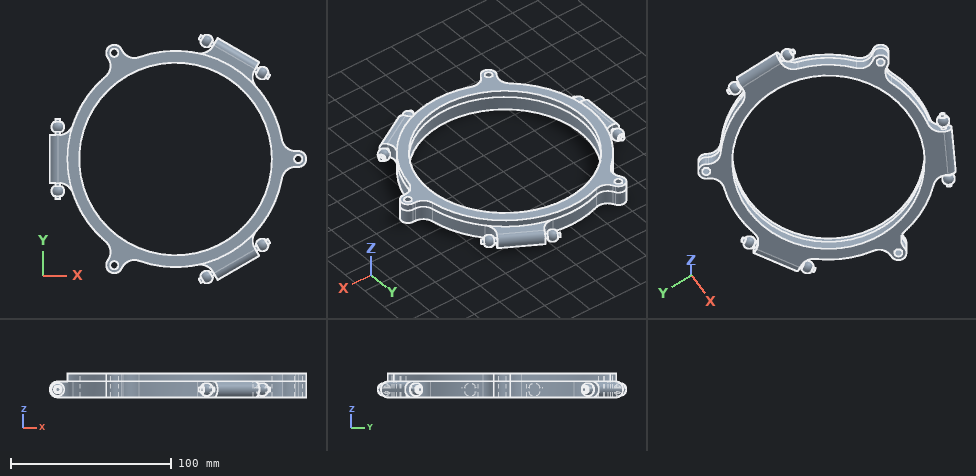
import cadquery as cq
import math

bore_diameter = 120.0
ring_outer_diameter = 135.0
lower_height = 10.0
upper_height = 5.0
ring_radius = ring_outer_diameter / 2

lug_count = 3
lug_angle = 360 / lug_count
lug_center_radius = 76.5
lug_diameter = 10.0
lug_radius = lug_diameter / 2
lug_flare_radius = 8.5
bolt_hole_diameter = 5.0

arm_first_angle = lug_angle / 2
barrel_center_radius = 73.5
barrel_length = 30.0
barrel_radius = lower_height / 2
arm_flare_radius = 9.1

ball_diameter = 8.0
ball_flat_diameter = 5.0
stud_diameter = 3.0
ball_offset = 20.0
stud_end_offset = 25.0


def turned(body, angle):
    """Turn a body about the ring axis."""
    return body.rotate((0, 0, 0), (0, 0, 1), angle)


def ring(height):
    return cq.Workplane("XY").circle(ring_radius).circle(bore_diameter / 2).extrude(height)


def flared_web(half_width, outer_x, flare_radius, height):
    """Straight web along +X whose sides flare tangentially into the ring."""
    flare_y = half_width + flare_radius
    flare_x = math.sqrt((ring_radius + flare_radius) ** 2 - flare_y ** 2)
    ring_angle = math.atan2(flare_y, flare_x)
    ring_x = ring_radius * math.cos(ring_angle)
    ring_y = ring_radius * math.sin(ring_angle)

    arc_start_angle = ring_angle + math.pi
    arc_end_angle = 3 * math.pi / 2
    mid_angle = (arc_start_angle + arc_end_angle) / 2
    mid_x = flare_x + flare_radius * math.cos(mid_angle)
    mid_y = flare_y + flare_radius * math.sin(mid_angle)

    return (
        cq.Workplane("XY")
        .moveTo(ring_x, ring_y)
        .threePointArc((mid_x, mid_y), (flare_x, half_width))
        .lineTo(outer_x, half_width)
        .lineTo(outer_x, -half_width)
        .lineTo(flare_x, -half_width)
        .threePointArc((mid_x, -mid_y), (ring_x, -ring_y))
        .close()
        .extrude(height)
    )


def add_lugs(body, height):
    """Add the bolt lugs and drill them through."""
    web = flared_web(lug_radius, lug_center_radius, lug_flare_radius, height)
    lug_center = cq.Workplane("XY").center(lug_center_radius, 0)
    lug = web.union(lug_center.circle(lug_radius).extrude(height))
    bolt_hole = lug_center.circle(bolt_hole_diameter / 2).extrude(height)
    for i in range(lug_count):
        angle = i * lug_angle
        body = body.union(turned(lug, angle)).cut(turned(bolt_hole, angle))
    return body


def hinge_arm():
    """Arm pointing along +X with its round barrel along Y."""
    web = flared_web(barrel_length / 2, barrel_center_radius, arm_flare_radius, lower_height)
    barrel = (
        cq.Workplane("XZ", origin=(barrel_center_radius, 0, barrel_radius))
        .circle(barrel_radius)
        .extrude(barrel_length / 2, both=True)
    )
    return web.union(barrel)


def make_lower_ring():
    body = add_lugs(ring(lower_height), lower_height)
    arm = hinge_arm()
    for i in range(lug_count):
        body = body.union(turned(arm, arm_first_angle + i * lug_angle))
    return body


def make_upper_ring():
    return add_lugs(ring(upper_height), upper_height).translate((0, 0, lower_height))


def make_ball_stud():
    """Stud along +Y, seated on the end face of a barrel, with a ball flattened at both poles."""
    ball_radius = ball_diameter / 2
    flat_radius = ball_flat_diameter / 2
    stud_radius = stud_diameter / 2
    half_ball_length = math.sqrt(ball_radius ** 2 - flat_radius ** 2)
    return (
        cq.Workplane("XY")
        .moveTo(0, barrel_length / 2)
        .lineTo(stud_radius, barrel_length / 2)
        .lineTo(stud_radius, ball_offset - half_ball_length)
        .lineTo(flat_radius, ball_offset - half_ball_length)
        .threePointArc((ball_radius, ball_offset), (flat_radius, ball_offset + half_ball_length))
        .lineTo(stud_radius, ball_offset + half_ball_length)
        .lineTo(stud_radius, stud_end_offset)
        .lineTo(0, stud_end_offset)
        .close()
        .revolve(360, (0, 0, 0), (0, 1, 0))
        .translate((barrel_center_radius, 0, barrel_radius))
    )


lower_ring = make_lower_ring()
upper_ring = make_upper_ring()

ball_stud = make_ball_stud()
opposite_stud = ball_stud.mirror("XZ")
ball_studs = []
for i in range(lug_count):
    arm_angle = arm_first_angle + i * lug_angle
    for stud in (ball_stud, opposite_stud):
        ball_studs.append(turned(stud, arm_angle).val())

result = cq.Compound.makeCompound([lower_ring.val(), upper_ring.val(), *ball_studs])